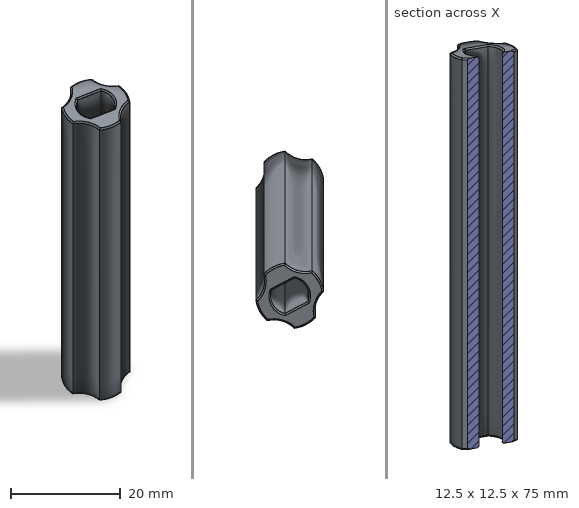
import cadquery as cq
import math

length = 75.0
lobe_radius = 6.25
lobe_pitch = 90
lobe_half_width = 2.22
flute_depth = 0.7
bore_radius = 3.5
bore_flat_width = 5.1
edge_chamfer = 0.3

lobe_corner_reach = math.sqrt(lobe_radius**2 - lobe_half_width**2)
flute_chord_distance = (lobe_corner_reach + lobe_half_width) / math.sqrt(2)
flute_floor_distance = flute_chord_distance - flute_depth


def polar_point(radius, angle):
    """Point at a distance from the axis, in the direction of angle (degrees)."""
    return (radius * math.cos(math.radians(angle)), radius * math.sin(math.radians(angle)))


def make_body():
    """Four-lobed bar with a concave flute between neighbouring lobes."""
    corner_angle = math.degrees(math.asin(lobe_half_width / lobe_radius))
    outline = cq.Workplane("XY").moveTo(*polar_point(lobe_radius, -corner_angle))
    for lobe_angle in range(0, 360, lobe_pitch):
        lobe_tip = polar_point(lobe_radius, lobe_angle)
        lobe_end = polar_point(lobe_radius, lobe_angle + corner_angle)
        flute_floor = polar_point(flute_floor_distance, lobe_angle + lobe_pitch / 2)
        next_lobe_start = polar_point(lobe_radius, lobe_angle + lobe_pitch - corner_angle)
        outline = outline.threePointArc(lobe_tip, lobe_end)
        outline = outline.threePointArc(flute_floor, next_lobe_start)
    return outline.close().extrude(length)


def make_bore():
    """Double-D bore: a cylinder flattened on the +X and -X sides."""
    cylinder = cq.Workplane("XY").circle(bore_radius).extrude(length)
    flats = cq.Workplane("XY").rect(bore_flat_width, 2 * bore_radius).extrude(length)
    return cylinder.intersect(flats)


tube = make_body().cut(make_bore())
result = tube.faces("<Z or >Z").edges().chamfer(edge_chamfer)